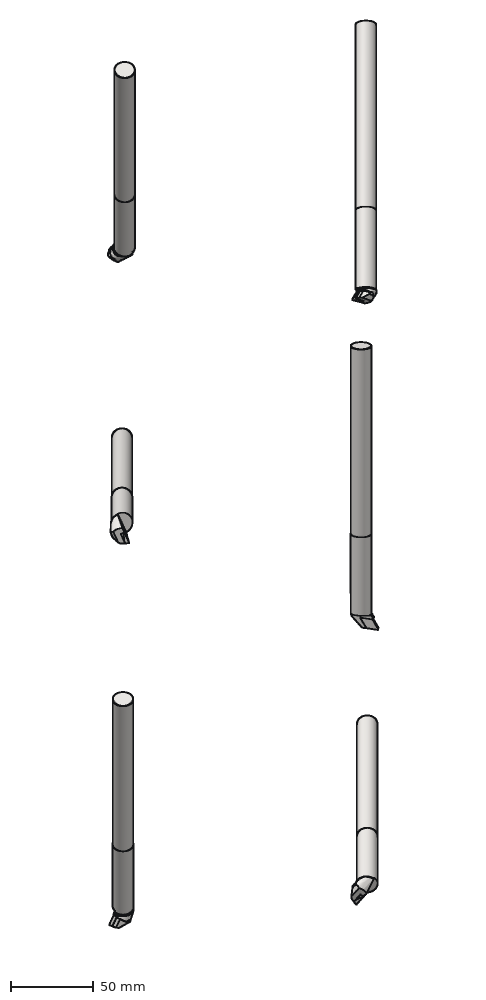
import cadquery as cq
import math

TOTAL_LENGTH = 184.15
TOTAL_WIDTH = 17.3
TOTAL_DEPTH = 14.67

SHANK_RADIUS = 12.7 / 2
NECK_RADIUS = 12.85 / 2
JOINT_RADIUS = 12.45 / 2
SHANK_BOTTOM = 62.8
TAPER_LENGTH = 1.1
SHANK_CHAMFER = 0.3
HEAD_TOP = 8.6
RELIEF_LOW = 9.4
RELIEF_HIGH = 10.7

HEAD_RADIUS = 6.7
COLLAR_X = -0.35
COLLAR_Y = -0.4
COLLAR_BOTTOM = 7.8
HEAD_BOTTOM = 0.4
LEAN_X = -0.83
LEAN_Y = -0.40
UNDERSIDE_TOP = 3.1
UNDERSIDE_ANGLE = 50
FLANK_CLEARANCE = 16
FLANK_DEPTH = 4.7
LOWER_FLANK_CLEARANCE = 40
FLANK_LENGTH = 7.9
SWING_RADIUS = 10.4
SWING_X = -3.0

INSERT_ANGLE = 55
INSERT_CIRCLE = 6.35
INSERT_THICKNESS = 2.38
INSERT_CLEARANCE = 7
CORNER_RADIUS = 0.4
END_CLEARANCE = 3

BIG = 40

CORNER_X = NECK_RADIUS - TOTAL_WIDTH
BULGE_Y = NECK_RADIUS - TOTAL_DEPTH
LEFT_EDGE_ANGLE = math.radians(INSERT_ANGLE + END_CLEARANCE)

CORNER_REACH = CORNER_RADIUS / math.sin(math.radians(INSERT_ANGLE / 2))
BISECTOR = math.radians(INSERT_ANGLE / 2 + END_CLEARANCE)
SHARP_X = CORNER_X + CORNER_RADIUS - CORNER_REACH * math.cos(BISECTOR)
SHARP_Z = CORNER_RADIUS - CORNER_REACH * math.sin(BISECTOR)


def make_shank():
    profile = [
        (0, HEAD_TOP),
        (NECK_RADIUS, HEAD_TOP),
        (NECK_RADIUS, SHANK_BOTTOM - TAPER_LENGTH),
        (JOINT_RADIUS, SHANK_BOTTOM - TAPER_LENGTH),
        (SHANK_RADIUS, SHANK_BOTTOM),
        (SHANK_RADIUS, TOTAL_LENGTH - SHANK_CHAMFER),
        (SHANK_RADIUS - SHANK_CHAMFER, TOTAL_LENGTH),
        (0, TOTAL_LENGTH),
    ]
    shank = cq.Workplane("XZ").polyline(profile).close().revolve(360, (0, 0), (0, 1))
    relief = (
        cq.Workplane("YZ")
        .polyline([(0, 0), (0, RELIEF_LOW), (NECK_RADIUS, RELIEF_HIGH), (NECK_RADIUS, 0)])
        .close()
        .extrude(BIG, both=True)
    )
    return shank.cut(relief)


def make_head_blank():
    drop = COLLAR_BOTTOM - HEAD_BOTTOM
    collar = (
        cq.Workplane("XY", origin=(COLLAR_X, COLLAR_Y, COLLAR_BOTTOM))
        .circle(HEAD_RADIUS)
        .extrude(HEAD_TOP - COLLAR_BOTTOM)
    )
    leaning = (
        cq.Workplane("XY", origin=(COLLAR_X, COLLAR_Y, COLLAR_BOTTOM))
        .circle(HEAD_RADIUS)
        .workplane(offset=-drop)
        .center(LEAN_X * drop, LEAN_Y * drop)
        .circle(HEAD_RADIUS)
        .loft(ruled=True)
    )
    behind_rake = cq.Workplane("XY").box(BIG, BIG, BIG).translate((0, BIG / 2, 0))
    return collar.union(leaning).cut(behind_rake)


def make_underside_cut():
    run = UNDERSIDE_TOP / math.tan(math.radians(UNDERSIDE_ANGLE))
    outline = [
        (BULGE_Y, UNDERSIDE_TOP),
        (BULGE_Y + run, 0),
        (BULGE_Y - BIG, 0),
        (BULGE_Y - BIG, UNDERSIDE_TOP),
    ]
    return cq.Workplane("YZ").polyline(outline).close().extrude(BIG, both=True)


def make_flank_cut():
    outward = (-math.sin(LEFT_EDGE_ANGLE), 0, math.cos(LEFT_EDGE_ANGLE))
    along_edge = (math.cos(LEFT_EDGE_ANGLE), 0, math.sin(LEFT_EDGE_ANGLE))
    end = (SHARP_X + FLANK_LENGTH * along_edge[0], 0, SHARP_Z + FLANK_LENGTH * along_edge[2])
    section = cq.Plane(origin=end, xDir=outward, normal=along_edge)
    upper_run = FLANK_DEPTH * math.tan(math.radians(FLANK_CLEARANCE))
    lower_run = (BIG - FLANK_DEPTH) * math.tan(math.radians(LOWER_FLANK_CLEARANCE))
    outline = [
        (0, 0),
        (-upper_run, FLANK_DEPTH),
        (-upper_run - lower_run, BIG),
        (BIG, BIG),
        (BIG, 0),
    ]
    return cq.Workplane(section).polyline(outline).close().extrude(-BIG)


def make_swing_envelope():
    return (
        cq.Workplane("XY", origin=(SWING_X, BULGE_Y + SWING_RADIUS, 0))
        .circle(SWING_RADIUS)
        .extrude(HEAD_TOP)
    )


def make_rhombus():
    side = INSERT_CIRCLE / math.sin(math.radians(INSERT_ANGLE))
    low = math.radians(END_CLEARANCE)
    lower = (side * math.cos(low), side * math.sin(low))
    left = (side * math.cos(LEFT_EDGE_ANGLE), side * math.sin(LEFT_EDGE_ANGLE))
    far = (lower[0] + left[0], lower[1] + left[1])
    return (
        cq.Workplane("XZ", origin=(SHARP_X, 0, SHARP_Z))
        .polyline([(0, 0), lower, far, left])
        .close()
        .extrude(INSERT_THICKNESS, taper=INSERT_CLEARANCE)
    )


def make_insert():
    rhombus = make_rhombus()
    corners = rhombus.edges().filter(lambda edge: edge.BoundingBox().ylen > INSERT_THICKNESS / 2)
    return corners.fillet(CORNER_RADIUS)


insert = make_insert()
head = make_head_blank().intersect(make_swing_envelope())
head = head.cut(make_underside_cut()).cut(make_flank_cut())
bar = make_shank().union(head).cut(make_rhombus())

result = cq.Compound.makeCompound([bar.val(), insert.val()])